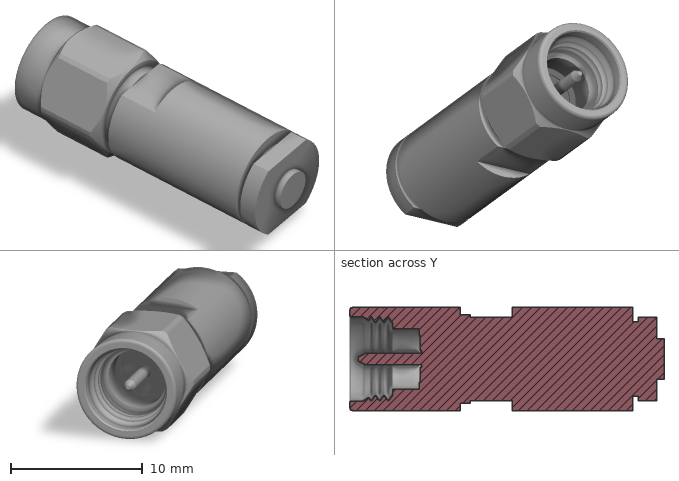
import cadquery as cq
import math

nut_hex_start = 2.53
nut_hex_end = 8.4
body_start = 9.17
body_flat_end = 12.32
body_end = 21.5
clamp_start = 21.9
clamp_end = 23.33
overall_length = 23.88

body_radius = 3.95
neck_radius = 3.4
groove_radius = 2.87
tail_radius = 1.55
rim_fillet = 0.26
hex_across_flats = 7.93
hex_corner_radius = 4.47
hex_chamfer = 0.57
wrench_flat_height = 6.4

rim_bore_radius = 3.27
entry_radius = 3.18
entry_chamfer = 0.12
entry_end = 1.03
lead_in_end = 1.45
lead_in_radius = 2.91
first_crest = 1.95
thread_pitch = 0.65
thread_ridges = 3
crest_radius = 2.72
root_radius = 3.18
seat_station = first_crest + (thread_ridges - 1) * thread_pitch
contact_bore_radius = 2.27
contact_bore_floor = 5.25
recess_radius = 1.77
pin_clearance_radius = 0.6
recess_depth = 0.1

pin_tip = 0.62
pin_shoulder = 1.2
pin_tip_radius = 0.17
pin_radius = 0.45


def cylinder(start, end, radius):
    return cq.Workplane("YZ").workplane(offset=start).circle(radius).extrude(end - start)


def revolved(profile):
    """Revolve a closed profile of (station, radius) points about the X axis."""
    return cq.Workplane("XY").polyline(profile).close().revolve(360, (0, 0, 0), (1, 0, 0))


def flat_slab(start, end):
    """Block whose top and bottom faces form a pair of wrench flats."""
    length = end - start
    width = 2 * body_radius
    return cq.Workplane("XY").box(length, width, wrench_flat_height).translate((start + length / 2, 0, 0))


def coupling_nut():
    sleeve = cylinder(0, nut_hex_start, body_radius).faces("<X").edges().fillet(rim_fillet)
    across_corners = hex_across_flats / math.cos(math.pi / 6)
    hexagon = (
        cq.Workplane("YZ")
        .workplane(offset=nut_hex_start)
        .polygon(6, across_corners)
        .extrude(nut_hex_end - nut_hex_start)
    )
    corner_limit = cylinder(nut_hex_start, nut_hex_end, hex_corner_radius).edges().chamfer(hex_chamfer)
    return sleeve.union(hexagon.intersect(corner_limit))


def body():
    front = cylinder(body_start, body_flat_end, body_radius).intersect(flat_slab(body_start, body_flat_end))
    return (
        cylinder(nut_hex_end, body_start, neck_radius)
        .union(front)
        .union(cylinder(body_flat_end, body_end, body_radius))
    )


def rear_clamp():
    clamp = cylinder(clamp_start, clamp_end, body_radius).intersect(flat_slab(clamp_start, clamp_end))
    return (
        cylinder(body_end, clamp_start, groove_radius)
        .union(clamp)
        .union(cylinder(clamp_end, overall_length, tail_radius))
    )


def socket():
    recess_floor = contact_bore_floor + recess_depth
    clearance_floor = recess_floor + recess_depth
    profile = [
        (0, 0),
        (0, rim_bore_radius),
        (entry_chamfer, entry_radius),
        (entry_end, entry_radius),
        (lead_in_end, lead_in_radius),
    ]
    for ridge in range(thread_ridges):
        crest = first_crest + ridge * thread_pitch
        profile += [
            (crest - thread_pitch / 2, root_radius),
            (crest, crest_radius),
        ]
    profile += [
        (seat_station, contact_bore_radius),
        (contact_bore_floor, contact_bore_radius),
        (contact_bore_floor, recess_radius),
        (recess_floor, recess_radius),
        (recess_floor, pin_clearance_radius),
        (clearance_floor, pin_clearance_radius),
        (clearance_floor, 0),
    ]
    return revolved(profile)


def centre_pin():
    return revolved([
        (pin_tip, 0),
        (pin_tip, pin_tip_radius),
        (pin_shoulder, pin_radius),
        (body_start, pin_radius),
        (body_start, 0),
    ])


shell = coupling_nut().union(body()).union(rear_clamp())
result = shell.cut(socket()).union(centre_pin())